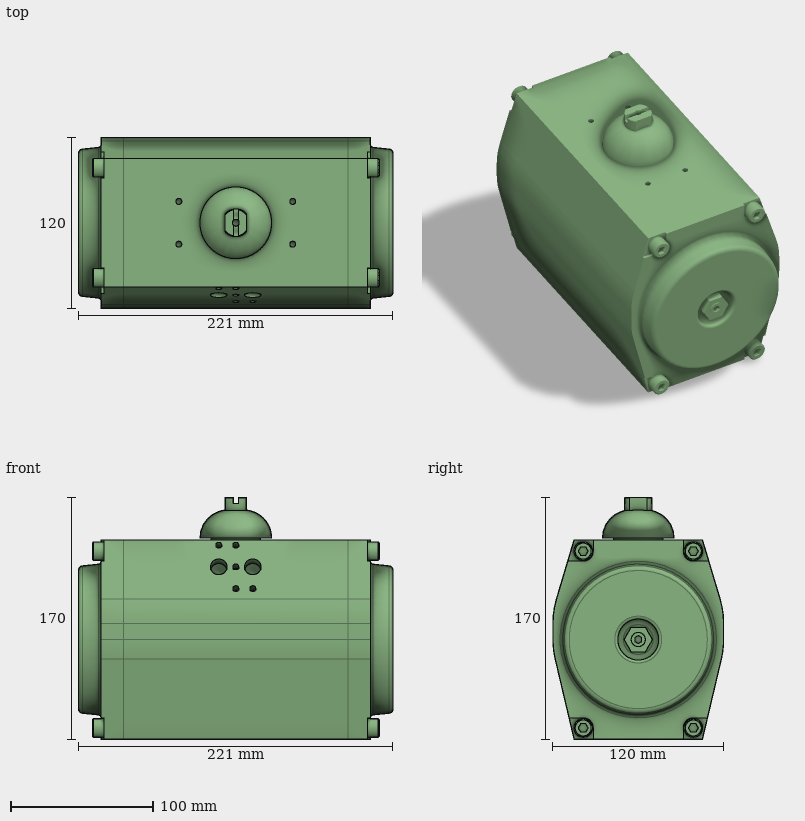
import cadquery as cq
import math


half_length = 110.5
half_width = 60.0
half_height = 70.0
flat_half_width = 45.0
upper_corner_z = 20.1
lower_corner_z = -6.9
side_blend_radius = half_width

body_half_length = 79.0
cap_face_x = 94.5

bulge_radius = 51.5
bulge_draft = 6.0
bulge_edge_fillet = 3.3
bulge_root_fillet = 2.0

recess_radius = 14.4
recess_depth = 6.2
recess_rim_fillet = 2.1
recess_floor_fillet = 3.87
nut_flats = 17.2
nut_face_depth = 0.7
set_screw_diameter = 10.0
set_screw_height = 0.7
set_screw_flats = 4.9
set_screw_socket_depth = 3.3

screw_y = 38.7
screw_z = 62.0
screw_head_diameter = 13.0
screw_head_x = 100.8
screw_chamfer = 0.9
screw_socket_flats = 6.0
screw_socket_depth = 3.3
screw_seat_depth = 2.0
screw_seat_radius = 7.0

collar_diameter = 35.0
collar_height = 1.0
dome_radius = 25.2
dome_height = 20.0
shaft_top_z = 100.0
shaft_diameter = 19.5
shaft_flats = 15.0
shaft_chamfer = 0.5
shaft_slot_width = 3.5
shaft_slot_depth = 4.2
shaft_hole_diameter = 4.9
shaft_hole_depth = 5.5

drill_point_angle = 118.0
small_hole_diameter = 4.2
small_hole_depth = 11.0
mount_pitch_x = 80.0
mount_pitch_y = 30.0
port_diameter = 11.5
port_depth = 11.0
port_half_pitch_x = 12.0
port_row_z = 51.0
port_row_pitch = 16.0


def housing_slice(start_x, end_x):
    """Length of the housing section between two X positions."""
    right_side = [
        (flat_half_width, -half_height),
        (half_width, lower_corner_z),
        (half_width, upper_corner_z),
        (flat_half_width, half_height),
    ]
    left_side = [(-y, z) for y, z in reversed(right_side)]
    blank = (
        cq.Workplane("YZ", origin=(start_x, 0, 0))
        .polyline(right_side + left_side)
        .close()
        .extrude(end_x - start_x)
    )
    return blank.edges("|X and (>Y or <Y)").fillet(side_blend_radius)


def hexagon(flats, height):
    """Hexagonal bar along +X with two of its corners on the Y axis."""
    return cq.Workplane("YZ").polygon(6, flats / math.cos(math.pi / 6)).extrude(height)


def drill(diameter, depth):
    """Cutter for a blind hole going down from the origin, with a conical point."""
    radius = diameter / 2
    point_length = radius / math.tan(math.radians(drill_point_angle / 2))
    profile = [(0, 0), (radius, 0), (radius, -depth), (0, -depth - point_length)]
    return cq.Workplane("XZ").polyline(profile).close().revolve(360, (0, 0), (0, 1)).val()


def drilled(solid, plane, points, diameter, depth):
    """Solid with equal blind holes drilled into a plane at its local points."""
    cutter = drill(diameter, depth)
    for x, y in points:
        place = plane.location * cq.Location(cq.Vector(x, y, 0))
        solid = solid.cut(cq.Workplane(cutter.moved(place)))
    return solid


def screw_seats():
    """Four pockets at the corners of the cap face, open to the outside and rounded inside."""
    inner_y = screw_y - screw_seat_radius
    inner_z = screw_z - screw_seat_radius
    seats = cq.Workplane("YZ", origin=(cap_face_x - screw_seat_depth, 0, 0))
    for side_y in (-1, 1):
        for side_z in (-1, 1):
            seat = (
                seats.moveTo(side_y * inner_y, side_z * inner_z)
                .lineTo(side_y * half_width, side_z * inner_z)
                .lineTo(side_y * half_width, side_z * half_height)
                .lineTo(side_y * inner_y, side_z * half_height)
                .close()
                .extrude(screw_seat_depth)
            )
            inner_edge = cq.selectors.NearestToPointSelector((cap_face_x, side_y * inner_y, side_z * inner_z))
            yield seat.edges("|X").edges(inner_edge).fillet(screw_seat_radius)


def screw_heads():
    seat_x = cap_face_x - screw_seat_depth
    head = (
        cq.Workplane("YZ")
        .circle(screw_head_diameter / 2)
        .extrude(screw_head_x - seat_x)
        .faces(">X")
        .chamfer(screw_chamfer)
    )
    socket_x = screw_head_x - seat_x - screw_socket_depth
    head = head.cut(hexagon(screw_socket_flats, screw_socket_depth).translate((socket_x, 0, 0)))
    for y in (-screw_y, screw_y):
        for z in (-screw_z, screw_z):
            yield head.translate((seat_x, y, z))


def bulge():
    """Drafted round bulge with a rounded edge, a round recess and the stop nut inside it."""
    depth = half_length - cap_face_x
    root_radius = bulge_radius + depth * math.tan(math.radians(bulge_draft))
    profile = [
        (body_half_length, 0),
        (body_half_length, root_radius),
        (cap_face_x, root_radius),
        (half_length, bulge_radius),
        (half_length, recess_radius),
        (half_length - recess_depth, recess_radius),
        (half_length - recess_depth, 0),
    ]
    solid = cq.Workplane("XY").polyline(profile).close().revolve(360, (0, 0), (1, 0))
    solid = solid.faces(">X").edges(cq.selectors.RadiusNthSelector(1)).fillet(bulge_edge_fillet)
    solid = solid.faces(">X").edges(cq.selectors.RadiusNthSelector(0)).fillet(recess_rim_fillet)

    floor_x = half_length - recess_depth
    floor_centre = cq.selectors.NearestToPointSelector((floor_x, 0, 0))
    solid = solid.edges("%CIRCLE").edges(floor_centre).fillet(recess_floor_fillet)

    nut_face_x = half_length - nut_face_depth
    nut = hexagon(nut_flats, nut_face_x - floor_x).translate((floor_x, 0, 0))
    screw_end_x = nut_face_x + set_screw_height
    screw = (
        cq.Workplane("YZ", origin=(floor_x, 0, 0))
        .circle(set_screw_diameter / 2)
        .extrude(screw_end_x - floor_x)
    )
    socket = (
        hexagon(set_screw_flats, set_screw_socket_depth)
        .rotate((0, 0, 0), (1, 0, 0), 30)
        .translate((screw_end_x - set_screw_socket_depth, 0, 0))
    )
    return solid.union(nut).union(screw).cut(socket)


def end_cap():
    """Complete cap for the +X end."""
    cap = housing_slice(body_half_length, cap_face_x).union(bulge())
    root_centre = cq.selectors.NearestToPointSelector((cap_face_x, 0, 0))
    cap = cap.edges("%CIRCLE").edges(root_centre).fillet(bulge_root_fillet)
    for seat in screw_seats():
        cap = cap.cut(seat)
    for head in screw_heads():
        cap = cap.union(head)
    return cap


def drive_shaft():
    """Collar, rounded dome and the slotted shaft end with two flats."""
    dome_base_z = half_height + collar_height
    collar = cq.Workplane("XY", origin=(0, 0, half_height)).circle(collar_diameter / 2).extrude(collar_height)

    crown_radius = dome_radius - dome_height
    arc_offset = dome_height * math.sqrt(0.5)
    dome = (
        cq.Workplane("XZ", origin=(0, 0, dome_base_z))
        .lineTo(dome_radius, 0)
        .threePointArc((crown_radius + arc_offset, arc_offset), (crown_radius, dome_height))
        .lineTo(0, dome_height)
        .close()
        .revolve(360, (0, 0), (0, 1))
    )

    shaft_height = shaft_top_z - dome_base_z
    shaft_base = cq.Workplane("XY", origin=(0, 0, dome_base_z))
    shaft = shaft_base.circle(shaft_diameter / 2).extrude(shaft_height).faces(">Z").chamfer(shaft_chamfer)
    shaft = shaft.intersect(shaft_base.rect(shaft_flats, shaft_diameter).extrude(shaft_height))
    slot_floor_z = shaft_top_z - shaft_slot_depth
    slot = (
        cq.Workplane("XY", origin=(0, 0, slot_floor_z))
        .rect(shaft_slot_width, shaft_diameter)
        .extrude(shaft_slot_depth)
    )
    shaft = collar.union(dome).union(shaft).cut(slot)
    hole_plane = cq.Plane(origin=(0, 0, shaft_top_z))
    return drilled(shaft, hole_plane, [(0, 0)], shaft_hole_diameter, shaft_slot_depth + shaft_hole_depth)


def body():
    """Middle housing with accessory holes on top and the port pattern on the -Y upper slope."""
    solid = housing_slice(-body_half_length, body_half_length)
    mount_x = mount_pitch_x / 2
    mount_y = mount_pitch_y / 2
    mount_points = [(x, y) for x in (-mount_x, mount_x) for y in (-mount_y, mount_y)]
    top_plane = cq.Plane(origin=(0, 0, half_height))
    solid = drilled(solid, top_plane, mount_points, small_hole_diameter, small_hole_depth)

    slope_run = half_width - flat_half_width
    slope_rise = half_height - upper_corner_z
    port_row_y = half_width - slope_run * (port_row_z - upper_corner_z) / slope_rise
    port_plane = cq.Plane(
        origin=(0, -port_row_y, port_row_z), xDir=(1, 0, 0), normal=(0, -slope_rise, slope_run)
    )
    ports = [(-port_half_pitch_x, 0), (port_half_pitch_x, 0)]
    solid = drilled(solid, port_plane, ports, port_diameter, port_depth)
    small_holes = [
        (-port_half_pitch_x, port_row_pitch),
        (0, port_row_pitch),
        (0, 0),
        (0, -port_row_pitch),
        (port_half_pitch_x, -port_row_pitch),
    ]
    return drilled(solid, port_plane, small_holes, small_hole_diameter, small_hole_depth)


cap = end_cap()
result = body().union(drive_shaft())
result = result.union(cap, clean=False).union(cap.mirror("YZ"), clean=False)